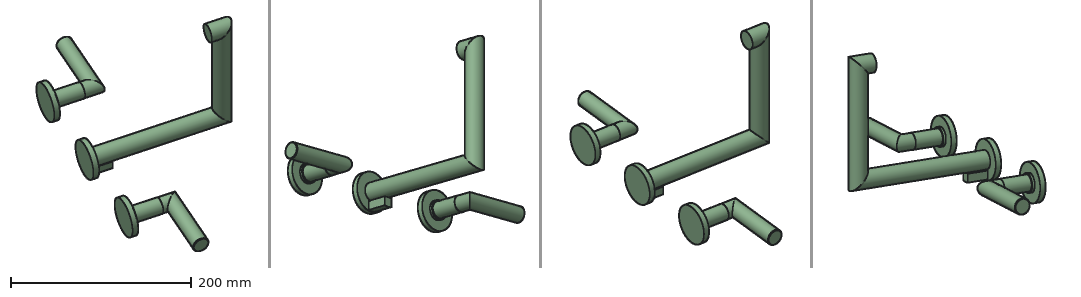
import cadquery as cq

flange_radius = 23.5
flange_thickness = 7.0

spout_radius = 11.0
spout_reach = 180.0
spout_rise = 133.5
spout_tip_length = 28.5

block_width = 10.5
block_end = 32.5
block_top_drop = 11.5
block_bottom_radius = 22.5

handle_spacing = 101.5
stem_radius = 9.78
lever_radius = 9.5
handle_axis_y = 59.0
handle_tip_x = 177.8
tip_chamfer = 0.7
collar_radius = 11.5
collar_thickness = 3.2
pivot_y = 44.5


def rod_y(radius, start, end):
    """Round bar along Y, centred on the Y axis."""
    return cq.Workplane("XZ", origin=(0, start, 0)).circle(radius).extrude(start - end)


def make_flange():
    return rod_y(flange_radius, 0, flange_thickness)


def make_block():
    """Narrow block standing on the flange front, just clear of the tube."""
    block_height = block_bottom_radius - block_top_drop
    block_length = block_end - flange_thickness
    block = (
        cq.Workplane("XY", origin=(0, flange_thickness, -block_bottom_radius))
        .box(block_width, block_length, block_height, centered=(True, False, False))
    )
    return block.intersect(rod_y(block_bottom_radius, flange_thickness, block_end))


def make_spout():
    """Flange and mitred tube, with the block below the tube."""
    riser_y = spout_reach - spout_radius
    tip_y = spout_reach - spout_tip_length
    path = (
        cq.Workplane("YZ")
        .moveTo(flange_thickness, 0)
        .lineTo(riser_y, 0)
        .lineTo(riser_y, spout_rise)
        .lineTo(tip_y, spout_rise)
    )
    tube = (
        cq.Workplane("XZ", origin=(0, flange_thickness, 0))
        .circle(spout_radius)
        .sweep(path, transition="right")
    )
    return make_flange().union(tube).union(make_block())


def make_handle(side):
    """Flange, stem and slightly thinner mitred lever; the lever points to -X or +X as side is -1 or +1."""
    lever_length = handle_tip_x - handle_spacing
    path = (
        cq.Workplane("XY")
        .moveTo(0, pivot_y)
        .lineTo(0, handle_axis_y)
        .lineTo(side * lever_length, handle_axis_y)
    )
    lever = (
        cq.Workplane("XZ", origin=(0, pivot_y, 0))
        .circle(lever_radius)
        .sweep(path, transition="right")
    )
    tip = ">X" if side > 0 else "<X"
    lever = lever.faces(tip).chamfer(tip_chamfer)
    collar = rod_y(collar_radius, flange_thickness, flange_thickness + collar_thickness)
    stem = rod_y(stem_radius, flange_thickness, pivot_y)
    handle = make_flange().union(collar).union(stem).union(lever)
    return handle.translate((side * handle_spacing, 0, 0))


spout = make_spout()
handles = [make_handle(side) for side in (-1, 1)]

result = cq.Compound.makeCompound([spout.val(), *[handle.val() for handle in handles]])